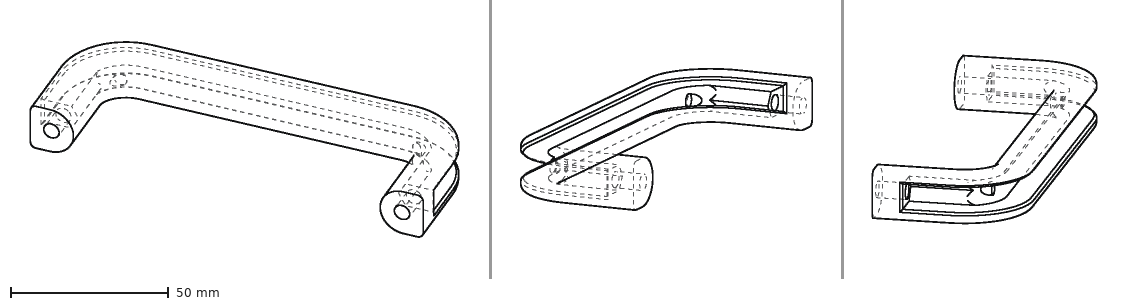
import cadquery as cq
import math

length = 134.8
reach = 47.5
height = 16.0

depth = 14.8
round_radius = height / 2
round_center = depth - round_radius
edge_fillet = 2.0
bend_radius = 22.4

channel_half_width = 4.2
channel_radius = 4.6
mouth_chamfer = 0.8
foot_length = 8.9
channel_start = foot_length + mouth_chamfer

vee_depth = 12.5
vee_slope = 30.0
vee_side_depth = vee_depth - channel_half_width * math.tan(math.radians(vee_slope))
vee_overrun = 8.1

hole_diameter = 5.3
hole_inset = 7.3
pin_diameter = 4.5
pin_inset = 16.2
pin_end_inset = 11.7

half_length = length / 2
bend_start = reach - bend_radius


def sweep_around(profile, start_y):
    """Sweep a profile along the U-shaped outer line, beginning at start_y on each leg."""
    bend_x = half_length - bend_radius
    bend_reach = bend_radius * math.sqrt(0.5)
    path = (
        cq.Workplane("XY")
        .moveTo(-half_length, start_y)
        .lineTo(-half_length, bend_start)
        .threePointArc((-bend_x - bend_reach, bend_start + bend_reach), (-bend_x, reach))
        .lineTo(bend_x, reach)
        .threePointArc((bend_x + bend_reach, bend_start + bend_reach), (half_length, bend_start))
        .lineTo(half_length, start_y)
    )
    return profile.sweep(path)


def leg_section(y):
    """Sketch plane across the left leg: x is depth from the outer face, extrusion goes +Y."""
    return cq.Workplane(cq.Plane((-half_length, y, 0), xDir=(1, 0, 0), normal=(0, 1, 0)))


def both_sides(left):
    return left.union(left.mirror("YZ"))


def make_body():
    corner = edge_fillet * (1 - math.sqrt(0.5))
    profile = (
        leg_section(0)
        .moveTo(0, round_radius - edge_fillet)
        .threePointArc((corner, round_radius - corner), (edge_fillet, round_radius))
        .lineTo(round_center, round_radius)
        .threePointArc((depth, 0), (round_center, -round_radius))
        .lineTo(edge_fillet, -round_radius)
        .threePointArc((corner, corner - round_radius), (0, edge_fillet - round_radius))
        .close()
    )
    return sweep_around(profile, 0)


def make_channel():
    mouth = channel_half_width + mouth_chamfer
    side_depth = round_center + math.sqrt(channel_radius**2 - channel_half_width**2)
    profile = (
        leg_section(channel_start)
        .moveTo(0, mouth)
        .lineTo(mouth_chamfer, channel_half_width)
        .lineTo(side_depth, channel_half_width)
        .threePointArc((round_center + channel_radius, 0), (side_depth, -channel_half_width))
        .lineTo(mouth_chamfer, -channel_half_width)
        .lineTo(0, -mouth)
        .close()
    )
    return sweep_around(profile, channel_start)


def make_mouth_ends():
    """Chamfer across the end of the channel mouth on each leg."""
    straight = bend_start - foot_length
    left = (
        cq.Workplane("YZ", origin=(-half_length, foot_length + straight / 2, 0))
        .rect(straight, 2 * (channel_half_width + mouth_chamfer))
        .extrude(mouth_chamfer, taper=45)
    )
    return both_sides(left)


def make_vee_floors():
    left = (
        leg_section(channel_start)
        .moveTo(round_center, channel_half_width)
        .lineTo(vee_side_depth, channel_half_width)
        .lineTo(vee_depth, 0)
        .lineTo(vee_side_depth, -channel_half_width)
        .lineTo(round_center, -channel_half_width)
        .close()
        .extrude(bend_start + vee_overrun - channel_start)
    )
    return both_sides(left)


def make_holes():
    left = leg_section(0).center(hole_inset, 0).circle(hole_diameter / 2).extrude(channel_start)
    return both_sides(left)


def make_pins():
    """Pins along Y that stand out of the channel floor inside each bend."""
    left = (
        leg_section(bend_start)
        .center(pin_inset, 0)
        .circle(pin_diameter / 2)
        .extrude(reach - pin_end_inset - bend_start)
    )
    return both_sides(left)


body = make_body()
result = (
    body.cut(make_channel())
    .cut(make_mouth_ends())
    .cut(make_vee_floors())
    .cut(make_holes())
    .union(make_pins().intersect(body))
)